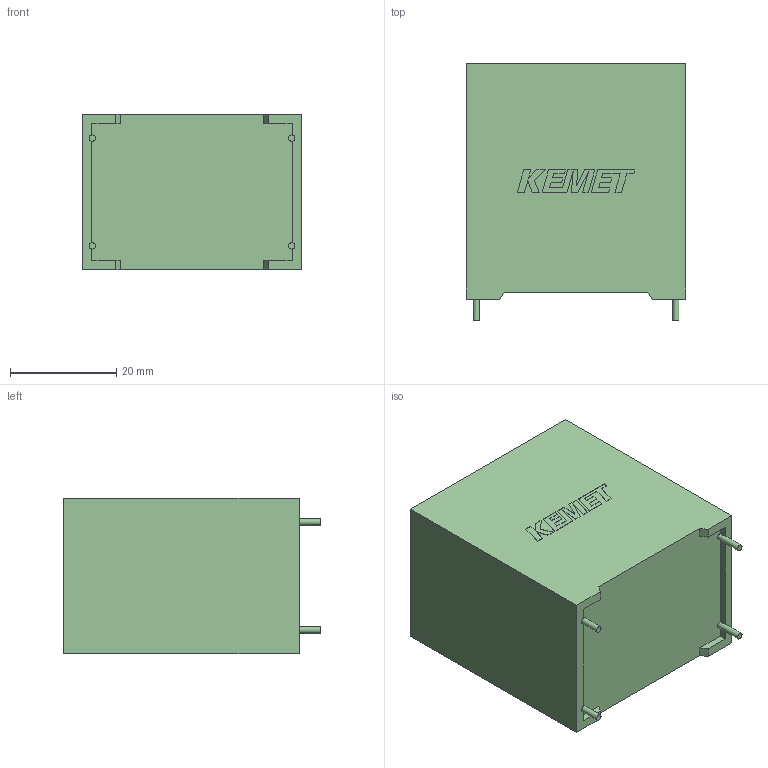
import cadquery as cq

width = 41.3
height = 29.3
depth = 44.3

rim_thickness = 1.8
recess_depth = 1.3
notch_mouth_width = 28.7
notch_floor_width = 26.9

pin_diameter = 1.2
pin_projection = 4.0
pin_pitch_x = 37.5
pin_pitch_z = 20.3

letter_height = 4.3
letter_slant = 0.285
inlay_depth = 0.1
bar_thickness = 0.74
lower_bar_thickness = 0.91
middle_bar_bottom = 1.87
middle_bar_top = 2.8
upper_bar_bottom = letter_height - bar_thickness

k_stem = 1.34
k_leg_joint_height = 2.33
k_arm_joint_height = 2.73
k_crotch = (2.54, 2.31)
k_arm_tip_span = (2.47, 4.06)
k_leg_foot_span = (2.79, 4.17)

e_stem = 1.17
e_middle_bar = 3.12
e_top_bar = 3.21
e_bottom_bar = 3.24

m_leg = 1.08
m_width = 5.08
m_left_shoulder = 1.83
m_right_shoulder = 3.15
m_inner_peak_height = 4.06
m_valley = (2.55, 1.29)
m_point_span = (1.89, 3.09)

t_stem_left = 4.46
t_stem_width = 1.24
t_right = 6.98

first_e_left = 4.66
m_left = 8.28
second_e_left = 13.9
text_width = second_e_left + t_right + letter_slant * letter_height


def make_box():
    return cq.Workplane("XY").box(width, depth, height, centered=(True, False, True))


def make_recess():
    return cq.Workplane("XY").box(
        width - 2 * rim_thickness,
        recess_depth,
        height - 2 * rim_thickness,
        centered=(True, False, True),
    )


def make_notches():
    """Trapezoid through the full height, wider at the rim than at the recess floor."""
    return (
        cq.Workplane("XY")
        .polyline([
            (-notch_mouth_width / 2, 0),
            (notch_mouth_width / 2, 0),
            (notch_floor_width / 2, recess_depth),
            (-notch_floor_width / 2, recess_depth),
        ])
        .close()
        .extrude(height / 2, both=True)
    )


def make_pins():
    """Four pins from the recess floor out past the rim, each sunk partly into the side wall."""
    return (
        cq.Workplane("XZ", origin=(0, recess_depth, 0))
        .rarray(pin_pitch_x, pin_pitch_z, 2, 2)
        .circle(pin_diameter / 2)
        .extrude(recess_depth + pin_projection)
    )


def make_inlay(outline):
    """Slant an upright outline, centre the text on the top face and extrude it down."""
    slanted = [
        (along + letter_slant * up - text_width / 2, up - letter_height / 2)
        for along, up in outline
    ]
    return (
        cq.Workplane("XY", origin=(0, depth / 2, height / 2))
        .polyline(slanted)
        .close()
        .extrude(-inlay_depth)
    )


def e_inner_edge(left):
    """Edge of an E between its bottom and top bars, listed from bottom to top."""
    return [
        (left + e_stem, lower_bar_thickness),
        (left + e_stem, middle_bar_bottom),
        (left + e_middle_bar, middle_bar_bottom),
        (left + e_middle_bar, middle_bar_top),
        (left + e_stem, middle_bar_top),
        (left + e_stem, upper_bar_bottom),
    ]


def make_letter_k():
    return make_inlay([
        (0, 0),
        (k_stem, 0),
        (k_stem, k_leg_joint_height),
        (k_leg_foot_span[0], 0),
        (k_leg_foot_span[1], 0),
        k_crotch,
        (k_arm_tip_span[1], letter_height),
        (k_arm_tip_span[0], letter_height),
        (k_stem, k_arm_joint_height),
        (k_stem, letter_height),
        (0, letter_height),
    ])


def make_letters_em():
    """E and M in one piece: the bottom bar of the E runs into the left leg of the M."""
    m_right = m_left + m_width
    return make_inlay([
        (first_e_left, 0),
        (m_left + m_leg, 0),
        (m_left + m_leg, m_inner_peak_height),
        (m_left + m_point_span[0], 0),
        (m_left + m_point_span[1], 0),
        (m_right - m_leg, m_inner_peak_height),
        (m_right - m_leg, 0),
        (m_right, 0),
        (m_right, letter_height),
        (m_left + m_right_shoulder, letter_height),
        (m_left + m_valley[0], m_valley[1]),
        (m_left + m_left_shoulder, letter_height),
        (m_left, letter_height),
        (m_left, lower_bar_thickness),
        *e_inner_edge(first_e_left),
        (first_e_left + e_top_bar, upper_bar_bottom),
        (first_e_left + e_top_bar, letter_height),
        (first_e_left, letter_height),
    ])


def make_letters_et():
    """E and T in one piece: they share one long top bar."""
    stem_left = second_e_left + t_stem_left
    stem_right = stem_left + t_stem_width
    return make_inlay([
        (second_e_left, 0),
        (second_e_left + e_bottom_bar, 0),
        (second_e_left + e_bottom_bar, lower_bar_thickness),
        *e_inner_edge(second_e_left),
        (stem_left, upper_bar_bottom),
        (stem_left, 0),
        (stem_right, 0),
        (stem_right, upper_bar_bottom),
        (second_e_left + t_right, upper_bar_bottom),
        (second_e_left + t_right, letter_height),
        (second_e_left, letter_height),
    ])


letter_k = make_letter_k()
letters_em = make_letters_em()
letters_et = make_letters_et()

housing = make_box().cut(make_recess()).cut(make_notches()).union(make_pins())
for inlay in (letter_k, letters_em, letters_et):
    housing = housing.cut(inlay)

result = cq.Compound.makeCompound([
    housing.solids().val(),
    letter_k.val(),
    letters_em.val(),
    letters_et.val(),
])